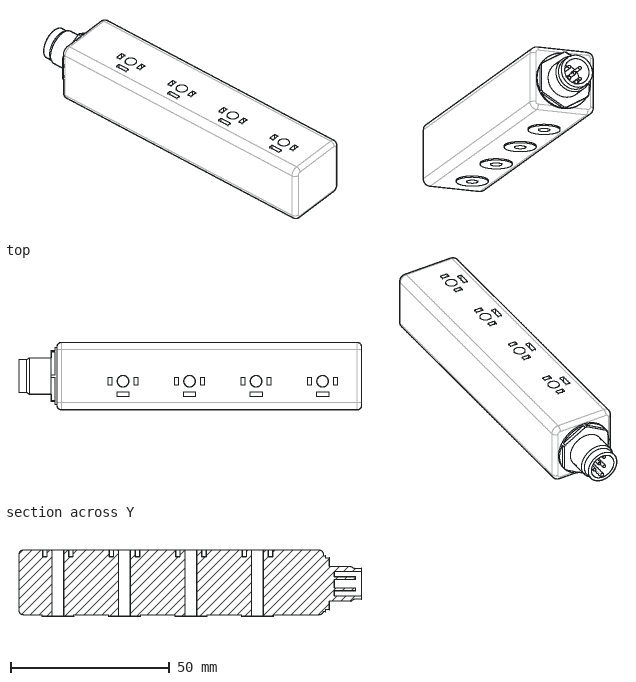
import cadquery as cq

overall_length = 108.0
body_start = 12.0
body_width = 21.3
body_height = 20.5
long_edge_radius = 2.3
end_edge_radius = 1.4

connector_drop = 0.4
neck_diameter = 10.5
neck_end = 2.5
sleeve_diameter = 11.6
sleeve_start = 3.3
nut_start = 10.2
nut_across_flats = 16.0
washer_start = 11.3
washer_diameter = 18.0

socket_diameter = 8.2
socket_depth = 8.6
pin_diameter = 1.0
pin_spacing = 3.6
pin_recess = 1.9
key_width = 1.0
key_tip_radius = 2.8
key_recess = 0.3

station_count = 4
station_pitch = 21.0
first_station = 32.8
station_y = -1.6
hole_diameter = 3.6
pad_diameter = 10.2
pad_thickness = 0.4
window_offset = 4.1
side_window_length = 1.3
side_window_width = 2.4
front_window_length = 3.9
front_window_width = 1.3
window_depth = 2.2

body_top = body_height / 2
body_bottom = -body_height / 2
station_points = [(first_station + i * station_pitch, station_y) for i in range(station_count)]


def connector_plane(x):
    """Plane facing +X on the connector axis; local x is +Y and local y is +Z."""
    return cq.Workplane("YZ", origin=(x, 0, -connector_drop))


def disc(start, end, diameter):
    """Cylinder on the connector axis between two X positions."""
    return connector_plane(start).circle(diameter / 2).extrude(end - start)


def make_body():
    body_length = overall_length - body_start
    bar = cq.Workplane("YZ", origin=(body_start, 0, 0)).rect(body_width, body_height).extrude(body_length)
    return bar.edges("|X").fillet(long_edge_radius).faces("<X or >X").edges().fillet(end_edge_radius)


def make_shell():
    """Neck, conical step and sleeve as one revolved outline."""
    outline = [
        (0, 0),
        (0, neck_diameter / 2),
        (neck_end, neck_diameter / 2),
        (sleeve_start, sleeve_diameter / 2),
        (nut_start, sleeve_diameter / 2),
        (nut_start, 0),
    ]
    shell = cq.Workplane("XZ", origin=(0, 0, -connector_drop)).polyline(outline).close()
    return shell.revolve(360, (0, 0, 0), (1, 0, 0))


def make_nut():
    """Hexagon with flats facing +Y and -Y, its corners trimmed to the washer circle."""
    hexagon = connector_plane(nut_start)
    hexagon = hexagon.polygon(6, nut_across_flats, circumscribed=True).extrude(washer_start - nut_start)
    return hexagon.intersect(disc(nut_start, washer_start, washer_diameter))


def make_pins():
    positions = [(0, 0)]
    for side_y in (-1, 1):
        for side_z in (-1, 1):
            positions.append((side_y * pin_spacing / 2, side_z * pin_spacing / 2))
    plane = connector_plane(pin_recess).pushPoints(positions)
    return plane.circle(pin_diameter / 2).extrude(socket_depth - pin_recess)


def make_key():
    """Round-nosed rib on the bottom of the socket wall."""
    half_width = key_width / 2
    nose_z = -key_tip_radius - half_width
    wall_middle_radius = (socket_diameter + neck_diameter) / 4
    root_z = -wall_middle_radius
    profile = connector_plane(key_recess).moveTo(-half_width, root_z).lineTo(-half_width, nose_z)
    profile = profile.threePointArc((0, -key_tip_radius), (half_width, nose_z)).lineTo(half_width, root_z)
    return profile.close().extrude(socket_depth - key_recess)


def make_windows():
    """Shallow rectangular recesses either side of each hole and on its -Y side."""
    top = cq.Workplane("XY", origin=(0, 0, body_top))
    side_points = [(x + s * window_offset, y) for x, y in station_points for s in (-1, 1)]
    front_points = [(x, y - window_offset) for x, y in station_points]
    sides = top.pushPoints(side_points).rect(side_window_length, side_window_width).extrude(-window_depth)
    fronts = top.pushPoints(front_points).rect(front_window_length, front_window_width).extrude(-window_depth)
    return sides.union(fronts)


def make_pads():
    bottom = cq.Workplane("XY", origin=(0, 0, body_bottom))
    return bottom.pushPoints(station_points).circle(pad_diameter / 2).extrude(-pad_thickness)


def make_holes():
    base = cq.Workplane("XY", origin=(0, 0, body_bottom - pad_thickness))
    return base.pushPoints(station_points).circle(hole_diameter / 2).extrude(body_height + pad_thickness)


connector = make_shell().union(make_nut()).union(disc(washer_start, body_start, washer_diameter))
connector = connector.cut(disc(0, socket_depth, socket_diameter)).union(make_pins()).union(make_key())

result = make_body().union(make_pads()).cut(make_holes()).cut(make_windows()).union(connector)